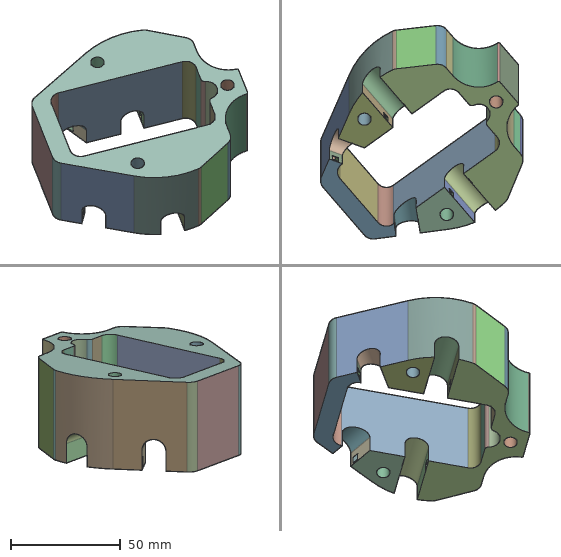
import cadquery as cq
import math

height = 42.8
length = 96.0
half_width = 42.5

side_center_y = 53.5
taper_angle = 30.0
shoulder_y = 81.1
shoulder_x = 30.2
flank_end_y = 62.2
tab_half_width = 7.5
scoop_radius = 15.0
corner_radius = 5.3
flank_blend_radius = 5.0
tab_corner_radius = 0.8

pocket_half_width = 19.0
pocket_front_y = 8.8
pocket_rear_y = 77.9
pocket_corner_radius = 5.0
notch_radius = 5.0
notch_center_y = 78.5
notch_blend_radius = 2.0

hole_diameter = 6.0
hole_circle_radius = 35.0
hole_angles = (90, 210, 330)

slot_width = 11.0
slot_top = 14.9
slot_arch_z = slot_top - slot_width / 2
side_slot_y = 49.0
flank_slot_y = 15.8

tie_outer_radius = 10.0
tie_inner_radius = 7.0
tie_width = 3.0
flank_tie_depth = 1.5
side_tie_inset = 3.6

taper = math.radians(taper_angle)
tangent_x = half_width * math.cos(taper)
tangent_y = side_center_y - half_width * math.sin(taper)
front_corner_x = tangent_x - tangent_y * math.tan(taper)
flank_end_x = math.sqrt(half_width**2 - (flank_end_y - side_center_y) ** 2)


def round_corners(solid, x, y, radius):
    """Round the vertical edges at (x, y) and at its mirror image."""
    reach = 0.1
    for side in (-1, 1):
        box = cq.selectors.BoxSelector(
            (side * x - reach, y - reach, -reach),
            (side * x + reach, y + reach, height + reach),
            boundingbox=True,
        )
        solid = solid.edges(box).fillet(radius)
    return solid


def make_body():
    scoop_x = tab_half_width + scoop_radius
    scoop_center_y = shoulder_y + scoop_radius
    tab_x = scoop_x - math.sqrt(scoop_radius**2 - (scoop_center_y - length) ** 2)
    scoop_mid_x = scoop_x - scoop_radius * math.cos(math.pi / 4)
    scoop_mid_y = scoop_center_y - scoop_radius * math.sin(math.pi / 4)
    half = (
        cq.Workplane("XY")
        .moveTo(0, 0)
        .lineTo(front_corner_x, 0)
        .lineTo(tangent_x, tangent_y)
        .threePointArc((half_width, side_center_y), (flank_end_x, flank_end_y))
        .lineTo(shoulder_x, shoulder_y)
        .lineTo(scoop_x, shoulder_y)
        .threePointArc((scoop_mid_x, scoop_mid_y), (tab_x, length))
        .lineTo(0, length)
        .close()
        .extrude(height)
    )
    body = half.union(half.mirror("YZ")).clean()
    body = round_corners(body, front_corner_x, 0, corner_radius)
    body = round_corners(body, flank_end_x, flank_end_y, flank_blend_radius)
    body = round_corners(body, shoulder_x, shoulder_y, corner_radius)
    return round_corners(body, tab_x, length, tab_corner_radius)


def make_pocket():
    pocket_length = pocket_rear_y - pocket_front_y
    pocket = (
        cq.Workplane("XY")
        .center(0, (pocket_front_y + pocket_rear_y) / 2)
        .rect(2 * pocket_half_width, pocket_length)
        .extrude(height)
        .edges("|Z")
        .fillet(pocket_corner_radius)
    )
    notch = cq.Workplane("XY").center(0, notch_center_y).circle(notch_radius).extrude(height)
    notch_x = math.sqrt(notch_radius**2 - (notch_center_y - pocket_rear_y) ** 2)
    return round_corners(pocket.union(notch), notch_x, pocket_rear_y, notch_blend_radius)


def make_holes():
    return (
        cq.Workplane("XY")
        .pushPoints([
            (
                hole_circle_radius * math.cos(math.radians(angle)),
                side_center_y + hole_circle_radius * math.sin(math.radians(angle)),
            )
            for angle in hole_angles
        ])
        .circle(hole_diameter / 2)
        .extrude(height)
    )


def make_slot(plane, depth):
    """Arched opening; the plane's origin is the arch center and its Y is up."""
    arch = cq.Workplane(plane).circle(slot_width / 2).extrude(depth)
    legs = (
        cq.Workplane(plane)
        .center(0, -slot_arch_z / 2)
        .rect(slot_width, slot_arch_z)
        .extrude(depth)
    )
    return arch.union(legs)


def make_tie_channel(plane, depth):
    """Ring around the arch, starting at a depth below the plane."""
    return (
        cq.Workplane(plane)
        .workplane(offset=depth)
        .circle(tie_outer_radius)
        .circle(tie_inner_radius)
        .extrude(tie_width)
    )


def make_flank_slot(side):
    """Slot square to a front flank, running from outside into the pocket."""
    flank_x = front_corner_x + flank_slot_y * math.tan(taper)
    inward = cq.Vector(-side * math.cos(taper), math.sin(taper), 0)
    across = cq.Vector(0, 0, 1).cross(inward)
    arch_center = cq.Vector(side * flank_x, flank_slot_y, slot_arch_z)
    clearance = 4.8
    wall = (flank_x - pocket_half_width) / math.cos(taper)
    depth = clearance + wall + slot_width / 2 * math.tan(taper)
    start = arch_center - inward * clearance
    slot = make_slot(cq.Plane(start, across, inward), depth)
    return slot.union(make_tie_channel(cq.Plane(arch_center, across, inward), flank_tie_depth))


def make_side_slot(side):
    """Slot along X from the round side into the pocket."""
    start = (side * half_width, side_slot_y, slot_arch_z)
    plane = cq.Plane(start, (0, -side, 0), (-side, 0, 0))
    wall = half_width - pocket_half_width
    tie_depth = wall - side_tie_inset - tie_width
    return make_slot(plane, wall).union(make_tie_channel(plane, tie_depth))


result = make_body().cut(make_pocket()).cut(make_holes())
for x_side in (-1, 1):
    result = result.cut(make_side_slot(x_side)).cut(make_flank_slot(x_side))